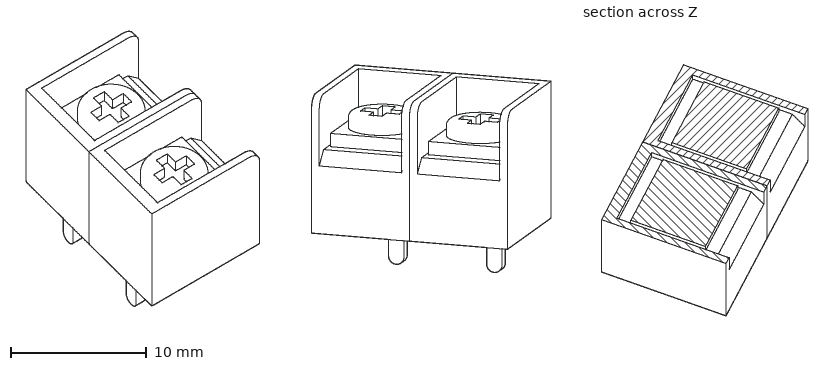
import cadquery as cq

module_count = 2
overall_width = 15.24
pitch = overall_width / module_count
depth = 10.0
height = 10.4
side_wall = 0.61
front_wall = 1.0
bay_width = pitch - 2 * side_wall
wall_corner_radius = 1.0
floor_edge_chamfer = 1.0

plate_side = 6.0
plate_thickness = 1.0
plate_top = height - 3.23
floor_height = plate_top - plate_thickness
screw_y = depth / 2
head_diameter = 5.0
head_top = height - 2.0
head_edge_radius = 0.5
cross_length = 3.0
cross_width = 1.0
cross_depth = 1.0

pin_width = 1.2
pin_thickness = 0.8
pin_length = 4.01
pin_front = front_wall


def make_housing():
    """Block with an open bay at the top and back, left between two side walls."""
    block = cq.Workplane("XY").box(pitch, depth, height, centered=(True, False, False))
    block = block.edges("|X and >Y and >Z").fillet(wall_corner_radius)
    bay = (
        cq.Workplane("XY", origin=(0, front_wall, floor_height))
        .box(bay_width, depth - front_wall, height - floor_height, centered=(True, False, False))
    )
    bevel = (
        cq.Workplane("YZ", origin=(-bay_width / 2, depth, floor_height))
        .polyline([(0, 0), (-floor_edge_chamfer, 0), (0, -floor_edge_chamfer)])
        .close()
        .extrude(bay_width)
    )
    return block.cut(bay).cut(bevel)


def make_clamp_plate():
    """Square plate resting on the bay floor."""
    return (
        cq.Workplane("XY", origin=(0, screw_y, floor_height))
        .rect(plate_side, plate_side)
        .extrude(plate_thickness)
    )


def make_screw_head():
    """Round head with a rounded rim and a cross-shaped driver recess."""
    head = (
        cq.Workplane("XY", origin=(0, screw_y, plate_top))
        .circle(head_diameter / 2)
        .extrude(head_top - plate_top)
        .faces(">Z").edges().fillet(head_edge_radius)
    )
    recess_plane = cq.Workplane("XY", origin=(0, screw_y, head_top))
    for length_x, length_y in ((cross_length, cross_width), (cross_width, cross_length)):
        head = head.cut(recess_plane.rect(length_x, length_y).extrude(-cross_depth))
    return head


def make_pin():
    """Flat pin below the housing with a fully rounded tip."""
    radius = pin_width / 2
    straight_end = radius - pin_length
    return (
        cq.Workplane("XZ", origin=(0, pin_front, 0))
        .moveTo(-radius, 0)
        .lineTo(radius, 0)
        .lineTo(radius, straight_end)
        .threePointArc((0, -pin_length), (-radius, straight_end))
        .close()
        .extrude(-pin_thickness)
    )


def make_module(center_x):
    """One terminal, a single solid with its plate, screw head and pin."""
    module = make_housing().union(make_clamp_plate()).union(make_screw_head()).union(make_pin())
    return module.translate((center_x, 0, 0))


modules = [make_module((index + 0.5) * pitch) for index in range(module_count)]
result = cq.Compound.makeCompound([module.val() for module in modules])